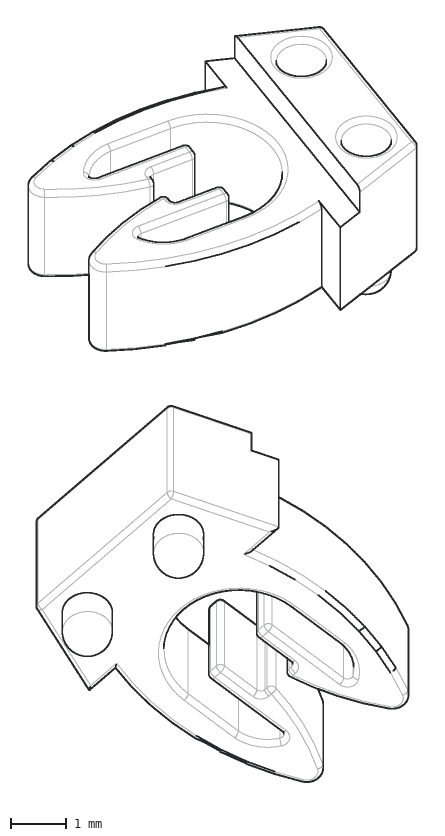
import cadquery as cq
import math


overall_length = 6.35
body_height = 2.1
block_height = 2.7
edge_radius = 0.1

base_back_y = 3.35
base_front_y = 1.35
block_front_y = 1.855
base_width = 5.0
base_front_half_width = base_width / 2
base_taper_angle = 20

pin_diameter = 0.9
pin_radius = pin_diameter / 2
pin_length = 1.005
pin_root = 0.205
socket_depth = pin_length
pin_half_spacing = 1.2
pin_inset = 0.75
pin_y = base_back_y - pin_inset

bore_radius = 1.35
arm_half_width = 2.01
arm_widest_y = -0.2
arm_tip_y = base_back_y - overall_length
tip_radius = 0.3
tip_x = 1.125
tip_inner_angle = 211

barb_x = 0.165
barb_y = -0.945
post_inner_x = 0.45
post_outer_x = 0.805
post_top_y = 0.05
slot_corner_y = -1.96
slot_wall_end_y = -1.23
slot_arc_radius = 0.825


def base_half_width(y):
    """Half width of the tapered base at a given Y."""
    return base_front_half_width - (y - base_front_y) * math.tan(math.radians(base_taper_angle))


def make_base_prism(front_y, height):
    """Trapezoid prism from front_y to the back, with rounded back corners."""
    front_half = base_half_width(front_y)
    back_half = base_half_width(base_back_y)
    outline = [
        (-front_half, front_y),
        (front_half, front_y),
        (back_half, base_back_y),
        (-back_half, base_back_y),
    ]
    prism = cq.Workplane("XY").polyline(outline).close().extrude(height)
    return prism.edges("|Z and >Y").fillet(edge_radius)


def make_arm():
    """Right arm with half of the bore ring, its tip, barb and post, with sharp rims."""
    tip_center_y = arm_tip_y + tip_radius
    reach_x = arm_half_width - tip_x
    reach_y = arm_widest_y - tip_center_y
    flank_radius = (reach_x**2 + reach_y**2 - tip_radius**2) / (2 * (reach_x - tip_radius))
    flank_center_x = arm_half_width - flank_radius
    root_x = flank_center_x + math.sqrt(flank_radius**2 - (base_front_y - arm_widest_y) ** 2)
    flank_end_angle = math.degrees(math.atan2(-reach_y, tip_x - flank_center_x))

    def tip_point(angle):
        turn = math.radians(angle)
        return tip_x + tip_radius * math.cos(turn), tip_center_y + tip_radius * math.sin(turn)

    arm = (
        cq.Workplane("XY")
        .moveTo(0, block_front_y)
        .lineTo(root_x, block_front_y)
        .lineTo(root_x, base_front_y)
        .threePointArc((arm_half_width, arm_widest_y), tip_point(flank_end_angle))
        .threePointArc(tip_point(270), tip_point(tip_inner_angle))
        .tangentArcPoint((barb_x, barb_y), relative=False)
        .lineTo(post_inner_x, barb_y)
        .lineTo(post_inner_x, post_top_y)
        .lineTo(post_outer_x, post_top_y)
        .lineTo(post_outer_x, slot_corner_y)
        .radiusArc((bore_radius, slot_wall_end_y), -slot_arc_radius)
        .lineTo(bore_radius, 0)
        .radiusArc((0, bore_radius), -bore_radius)
        .close()
        .extrude(body_height)
    )
    rounded_corners = [
        (barb_x, barb_y),
        (post_inner_x, barb_y),
        (post_inner_x, post_top_y),
        (post_outer_x, post_top_y),
        (post_outer_x, slot_corner_y),
    ]
    for x, y in rounded_corners:
        corner = cq.selectors.NearestToPointSelector((x, y, body_height / 2))
        arm = arm.edges("|Z").edges(corner).fillet(edge_radius)
    return arm


def round_arm_rims(body):
    """Round the upper rims of the arms and bore, leaving the base edges sharp."""
    rim_region = cq.selectors.BoxSelector(
        (-base_front_half_width, arm_tip_y, body_height - edge_radius / 2),
        (base_front_half_width, base_front_y - edge_radius / 2, body_height + edge_radius / 2),
    )
    return body.edges(rim_region).fillet(edge_radius)


def make_pin():
    """Round-nosed pin hanging from the underside, rooted inside the base."""
    nose_z = pin_radius - pin_length
    shank = cq.Workplane("XY").workplane(offset=nose_z).circle(pin_radius).extrude(pin_root - nose_z)
    nose = cq.Workplane("XY").sphere(pin_radius).translate((0, 0, nose_z))
    return shank.union(nose)


right_arm = make_arm()
body = make_base_prism(base_front_y, body_height)
body = body.union(right_arm).union(right_arm.mirror("YZ")).clean()
body = round_arm_rims(body)

body = body.union(make_base_prism(block_front_y, block_height)).clean()
block_top_edges = body.faces(">Z").edges()
body = block_top_edges.newObject(
    [edge for edge in block_top_edges.vals() if edge.Center().y > block_front_y + edge_radius]
).fillet(edge_radius)

body = body.faces("<Z").edges().fillet(edge_radius)

pin_centers = [(-pin_half_spacing, pin_y), (pin_half_spacing, pin_y)]
sockets = (
    cq.Workplane("XY")
    .workplane(offset=block_height - socket_depth)
    .pushPoints(pin_centers)
    .circle(pin_radius)
    .extrude(socket_depth)
)
body = body.cut(sockets)
body = body.faces(">Z").edges("%CIRCLE").fillet(edge_radius)
for x, y in pin_centers:
    body = body.union(make_pin().translate((x, y, 0)))

result = body